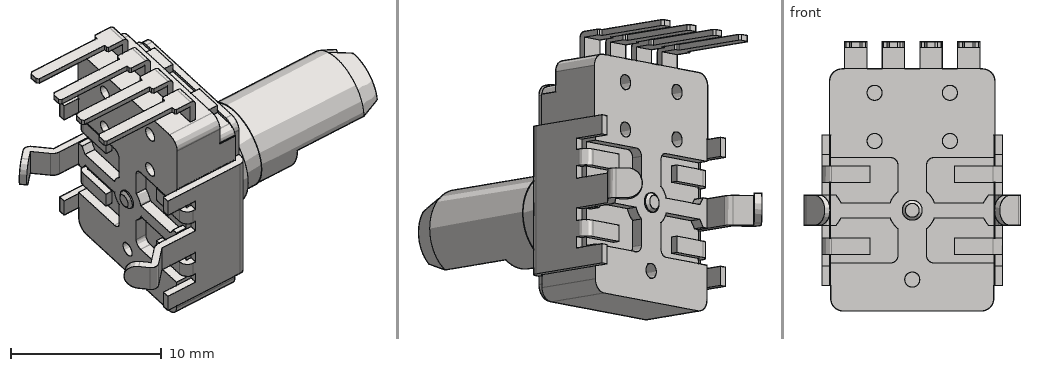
import cadquery as cq
import math

SHEET = 0.5

SHAFT_R = 3.0
SHAFT_TIP = 13.5
TIP_TAPER_LENGTH = 1.5
TIP_TAPER_INSET = 0.5
FLAT_START = 6.5
FLAT_DISTANCE = 1.5
FLAT_DIRECTION = -60
SLOT_FLOOR_WIDTH = 1.3
SLOT_MOUTH_WIDTH = 2.1
COLLAR_R = 3.05
COLLAR_TOP = 3.5
BUSHING_R = 3.55
BUSHING_TOP = 2.0

BODY_FRONT = -SHEET
BODY_BACK = -5.35
BODY_TOP = 9.4
BODY_BOTTOM = -6.7
BODY_HALF_WIDTH = 5.5
BODY_CORNER_R = 0.85
FLANGE_GAP = 0.08
STEP_BACK = -1.8
STEP_FLOOR = 7.2
STEP_SHELF_TOP = 7.8
STEP_CORNER_R = 0.6
STEP_BUMP_TOP = 8.45
BUMP_INNER_X = 1.47
BUMP_OUTER_X = 3.48

POCKET_FLOOR = -4.55
POCKET_INNER_X = 0.95
POCKET_OUTER_Z = 3.5
POCKET_INNER_Z = 0.5
POCKET_CORNER_R = 0.5
POCKET_FLARE_Z = 1.0
POCKET_FLARE_START_X = 4.72
POCKET_FLARE_END_X = 5.05
HUB_R = 1.55
HOLE_DIAMETER = 1.0
HOLE_DEPTH = 1.5
HOLE_CENTRES = [(-2.5, 7.8), (2.5, 7.8), (-2.5, 4.6), (2.5, 4.6), (0, -4.6)]
NUB_R = 0.66
NUB_HEIGHT = 0.3
NUB_BEVEL = 0.2

PLATE_HALF_WIDTH = 5.2
PLATE_TOP = 8.0
PLATE_BOTTOM = -6.55
PLATE_TOP_CORNER_R = 0.8
PLATE_BOTTOM_CORNER_R = 1.0
COVER_HALF_WIDTH = BODY_HALF_WIDTH + SHEET
FLANGE_HALF_HEIGHT = 5.0
FLANGE_BEND_R = SHEET
FLANGE_EDGE = -4.2
TAB_END = -6.5
TAB_INNER_Z = 3.7
FINGER_CENTRE_Z = 2.4
FINGER_WIDTH = 1.1
FINGER_TIP_X = 2.8
FINGER_BEND_R = 0.65
PEG_R = 0.6
PEG_HEIGHT = 0.65
PEG_BEVEL = 0.2
PEG_X = 4.03
PEG_Z = 4.8

SNAP_HALF_WIDTH = 1.0
SNAP_REACH = 7.2
SNAP_ELBOW = -8.4
SNAP_TIP_RUN = 1.42
SNAP_ELBOW_R = 0.5
SNAP_KNEE_R = 0.8

PIN_COUNT = 4
PIN_PITCH = 2.5
PIN_THICKNESS = 0.4
PIN_TOP = 11.2
PIN_FRONT = -3.08
PIN_RISER_THICKNESS = 0.44
PIN_HEAD_WIDTH = 1.5
PIN_HEAD_END = -4.77
PIN_HEAD_BEVEL = 0.1
PIN_WIDTH = 0.85
OVERALL_LENGTH = 23.83
PIN_TIP = SHAFT_TIP - OVERALL_LENGTH
PIN_TIP_BEVEL = 0.15
PIN_ROOT_DEPTH = 0.5

OVERLAP = 0.3


def box(x0, x1, y0, y1, z0, z1):
    return cq.Workplane("XY").box(x1 - x0, y1 - y0, z1 - z0, centered=False).translate((x0, y0, z0))


def facing_rear(y):
    """Sketch plane at depth y with local x = X, local y = Z; extrusion runs towards -Y."""
    return cq.Workplane("XZ", origin=(0, y, 0))


def both_sides(piece):
    return piece.union(piece.mirror("YZ"))


def make_shaft():
    taper_start = SHAFT_TIP - TIP_TAPER_LENGTH
    rod = facing_rear(taper_start).circle(SHAFT_R).extrude(taper_start)
    cone = (
        facing_rear(taper_start)
        .circle(SHAFT_R)
        .workplane(offset=-TIP_TAPER_LENGTH)
        .circle(SHAFT_R - TIP_TAPER_INSET)
        .loft()
    )
    beyond_flat = (
        cq.Workplane("XY")
        .moveTo(FLAT_DISTANCE, FLAT_START)
        .lineTo(FLAT_DISTANCE, taper_start)
        .lineTo(FLAT_DISTANCE - TIP_TAPER_INSET, SHAFT_TIP)
        .lineTo(SHAFT_R, SHAFT_TIP)
        .lineTo(SHAFT_R, FLAT_START)
        .close()
        .extrude(SHAFT_R, both=True)
    )
    slot = (
        cq.Workplane("YZ")
        .moveTo(taper_start, -SLOT_FLOOR_WIDTH / 2)
        .lineTo(SHAFT_TIP, -SLOT_MOUTH_WIDTH / 2)
        .lineTo(SHAFT_TIP, SLOT_MOUTH_WIDTH / 2)
        .lineTo(taper_start, SLOT_FLOOR_WIDTH / 2)
        .close()
        .extrude(SHAFT_R, both=True)
    )
    shaft = rod.union(cone).cut(beyond_flat).cut(slot)
    shaft = shaft.rotate((0, 0, 0), (0, 1, 0), -FLAT_DIRECTION)
    collar = facing_rear(COLLAR_TOP).circle(COLLAR_R).extrude(COLLAR_TOP)
    bushing = facing_rear(BUSHING_TOP).circle(BUSHING_R).extrude(BUSHING_TOP + OVERLAP)
    return shaft.union(collar).union(bushing)


def make_body():
    block = box(-BODY_HALF_WIDTH, BODY_HALF_WIDTH, BODY_BACK, BODY_FRONT, BODY_BOTTOM, BODY_TOP)
    relief = box(
        BODY_HALF_WIDTH - FLANGE_GAP, BODY_HALF_WIDTH, BODY_BACK, BODY_FRONT, BODY_BOTTOM, FLANGE_HALF_HEIGHT
    )
    block = block.cut(both_sides(relief)).edges("|Y and (>Z or <Z)").fillet(BODY_CORNER_R)
    step_cut = box(-BODY_HALF_WIDTH, BODY_HALF_WIDTH, STEP_BACK, BODY_FRONT, STEP_FLOOR, BODY_TOP)
    shelf_x = BODY_HALF_WIDTH - FLANGE_GAP
    shelf = box(-shelf_x, shelf_x, STEP_BACK, BODY_FRONT, FLANGE_HALF_HEIGHT, STEP_SHELF_TOP)
    shelf = shelf.edges("|Y and >Z").fillet(STEP_CORNER_R)
    bump = box(BUMP_INNER_X, BUMP_OUTER_X, STEP_BACK, BODY_FRONT, STEP_FLOOR, STEP_BUMP_TOP)
    return block.cut(step_cut).union(shelf).union(both_sides(bump))


def make_pocket():
    """Rear pocket in the +X, +Z quadrant, open to the side wall."""
    depth = POCKET_FLOOR - BODY_BACK
    corner_x = POCKET_INNER_X + POCKET_CORNER_R
    corner_z = POCKET_OUTER_Z - POCKET_CORNER_R
    pocket = (
        facing_rear(POCKET_FLOOR)
        .moveTo(POCKET_INNER_X, POCKET_INNER_Z)
        .lineTo(POCKET_FLARE_START_X, POCKET_INNER_Z)
        .lineTo(POCKET_FLARE_END_X, POCKET_FLARE_Z)
        .lineTo(BODY_HALF_WIDTH, POCKET_FLARE_Z)
        .lineTo(BODY_HALF_WIDTH, POCKET_OUTER_Z)
        .lineTo(corner_x, POCKET_OUTER_Z)
        .radiusArc((POCKET_INNER_X, corner_z), -POCKET_CORNER_R)
        .close()
        .extrude(depth)
    )
    hub = facing_rear(POCKET_FLOOR).circle(HUB_R).extrude(depth)
    return pocket.cut(hub)


def add_rear_details(body):
    right_pockets = make_pocket().union(make_pocket().mirror("XY"))
    holes = facing_rear(BODY_BACK + HOLE_DEPTH).pushPoints(HOLE_CENTRES)
    holes = holes.circle(HOLE_DIAMETER / 2).extrude(HOLE_DEPTH)
    nub = facing_rear(BODY_BACK + OVERLAP).circle(NUB_R).extrude(NUB_HEIGHT + OVERLAP)
    nub = nub.faces("<Y").chamfer(NUB_BEVEL)
    return body.cut(both_sides(right_pockets)).cut(holes).union(nub)


def make_cover():
    plate = box(-PLATE_HALF_WIDTH, PLATE_HALF_WIDTH, -SHEET, 0, PLATE_BOTTOM, PLATE_TOP)
    plate = plate.edges("|Y and >Z").fillet(PLATE_TOP_CORNER_R)
    plate = plate.edges("|Y and <Z").fillet(PLATE_BOTTOM_CORNER_R)

    wing = box(0, COVER_HALF_WIDTH, TAB_END, 0, -FLANGE_HALF_HEIGHT, FLANGE_HALF_HEIGHT)
    wing = wing.edges("|Z and >X and >Y").fillet(FLANGE_BEND_R)
    inside = box(0, BODY_HALF_WIDTH, TAB_END, -SHEET, -FLANGE_HALF_HEIGHT, FLANGE_HALF_HEIGHT)
    window = box(0, COVER_HALF_WIDTH, TAB_END, FLANGE_EDGE, -TAB_INNER_Z, TAB_INNER_Z)
    wing = wing.cut(inside).cut(window)
    for side in (-1, 1):
        wing = wing.union(make_finger().translate((0, 0, side * FINGER_CENTRE_Z)))
    wing = wing.union(make_snap_leg())

    cover = plate.union(both_sides(wing))
    for side in (-1, 1):
        peg = facing_rear(PEG_HEIGHT).center(side * PEG_X, -side * PEG_Z).circle(PEG_R)
        peg = peg.extrude(PEG_HEIGHT + OVERLAP).faces(">Y").chamfer(PEG_BEVEL)
        cover = cover.union(peg)
    return cover


def make_finger():
    """Clinched finger: leaves the +X flange and folds inwards onto the pocket floor."""
    half_width = FINGER_WIDTH / 2
    rear = POCKET_FLOOR - SHEET
    finger = box(FINGER_TIP_X, COVER_HALF_WIDTH, rear, FLANGE_EDGE + OVERLAP, -half_width, half_width)
    finger = finger.edges("|Z and >X and <Y").fillet(FINGER_BEND_R)
    inside = box(FINGER_TIP_X, BODY_HALF_WIDTH, POCKET_FLOOR, FLANGE_EDGE + OVERLAP, -half_width, half_width)
    return finger.cut(inside)


def make_snap_leg():
    """Leg of the +X flange: bends out at 45 degrees, returns at the elbow, rounded at its end."""
    half_bend_tangent = math.sqrt(2) - 1
    slant = SHEET / math.sqrt(2)
    outer_x = SNAP_REACH + SNAP_ELBOW_R * half_bend_tangent
    inner_x = outer_x - 2 * slant
    knee_y = SNAP_ELBOW + outer_x - COVER_HALF_WIDTH
    inner_knee = (BODY_HALF_WIDTH, knee_y - SHEET * half_bend_tangent)
    tip_mid_x = outer_x - slant - SNAP_TIP_RUN
    tip_mid_y = SNAP_ELBOW - SNAP_TIP_RUN
    profile = (
        cq.Workplane("XY")
        .moveTo(COVER_HALF_WIDTH, FLANGE_EDGE + OVERLAP)
        .lineTo(COVER_HALF_WIDTH, knee_y)
        .lineTo(outer_x, SNAP_ELBOW)
        .lineTo(tip_mid_x + slant / 2, tip_mid_y - slant / 2)
        .lineTo(tip_mid_x - slant / 2, tip_mid_y + slant / 2)
        .lineTo(inner_x, SNAP_ELBOW)
        .lineTo(*inner_knee)
        .lineTo(BODY_HALF_WIDTH, FLANGE_EDGE + OVERLAP)
        .close()
    )
    leg = profile.extrude(SNAP_HALF_WIDTH, both=True)
    leg = leg.edges(cq.NearestToPointSelector((outer_x, SNAP_ELBOW, 0))).fillet(SNAP_ELBOW_R)
    leg = leg.edges(cq.NearestToPointSelector((*inner_knee, 0))).fillet(SNAP_KNEE_R)

    end_plane = cq.Plane(origin=(tip_mid_x, tip_mid_y, 0), xDir=(1, 1, 0), normal=(-1, 1, 0))
    end_square = cq.Workplane(end_plane).rect(2 * SNAP_HALF_WIDTH, 2 * SNAP_HALF_WIDTH)
    end_circle = cq.Workplane(end_plane).center(SNAP_HALF_WIDTH, 0).circle(SNAP_HALF_WIDTH)
    corners = end_square.extrude(SHEET, both=True).cut(end_circle.extrude(SHEET, both=True))
    return leg.cut(corners)


def make_pin():
    """One terminal: rises from the body top, then turns towards -Y and narrows."""
    head_half = PIN_HEAD_WIDTH / 2
    half = PIN_WIDTH / 2
    underside = PIN_TOP - PIN_THICKNESS
    riser_back = PIN_FRONT - PIN_RISER_THICKNESS
    riser = box(-head_half, head_half, riser_back, PIN_FRONT, BODY_TOP - PIN_ROOT_DEPTH, PIN_TOP)
    head = box(-head_half, head_half, PIN_HEAD_END, PIN_FRONT, underside, PIN_TOP)
    head = head.edges("|Z and <Y").chamfer(PIN_HEAD_BEVEL)
    bent = riser.union(head).edges("|X and >Y and >Z").fillet(PIN_THICKNESS)
    leg = box(-half, half, PIN_TIP, riser_back, underside, PIN_TOP)
    leg = leg.edges("|Z and <Y").chamfer(PIN_TIP_BEVEL)
    return bent.union(leg)


result = add_rear_details(make_body()).union(make_cover()).union(make_shaft())
for index in range(PIN_COUNT):
    pin_x = (index - (PIN_COUNT - 1) / 2) * PIN_PITCH
    result = result.union(make_pin().translate((pin_x, 0, 0)))